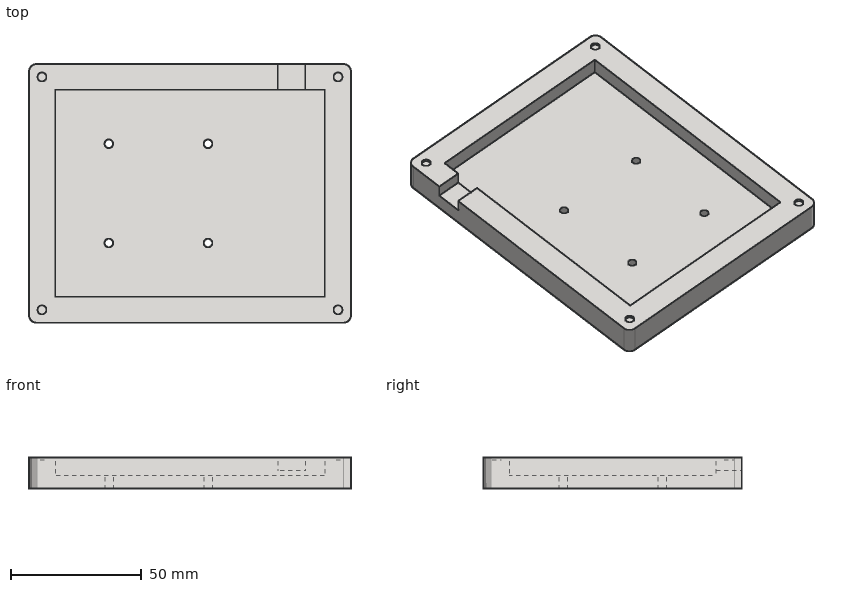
import cadquery as cq

length = 123.2
width = 99.0
height = 12.0
corner_radius = 3.0
wall = 10.0
floor_thickness = 5.0

rim_hole_diameter = 3.5
rim_hole_depth = 1.0

mount_hole_diameter = 3.2
mount_spacing = 38.0
mount_center_x = -12.1

notch_width = 10.5
notch_center_x = 38.8
notch_depth = 5.0


def make_tray():
    """Rounded block with a sharp-cornered rectangular pocket."""
    block = cq.Workplane("XY").box(length, width, height, centered=(True, True, False))
    block = block.edges("|Z").fillet(corner_radius)
    pocket = (
        cq.Workplane("XY")
        .workplane(offset=floor_thickness)
        .rect(length - 2 * wall, width - 2 * wall)
        .extrude(height - floor_thickness)
    )
    return block.cut(pocket)


def make_rim_holes():
    """Shallow blind holes going down from the rim."""
    return (
        cq.Workplane("XY")
        .workplane(offset=height - rim_hole_depth)
        .rect(length - wall, width - wall, forConstruction=True)
        .vertices()
        .circle(rim_hole_diameter / 2)
        .extrude(rim_hole_depth)
    )


def make_mount_holes():
    """Through holes in the floor."""
    return (
        cq.Workplane("XY")
        .center(mount_center_x, 0)
        .rect(mount_spacing, mount_spacing, forConstruction=True)
        .vertices()
        .circle(mount_hole_diameter / 2)
        .extrude(floor_thickness)
    )


def make_notch():
    """Block spanning the back wall, open at the top."""
    return (
        cq.Workplane("XY")
        .workplane(offset=height - notch_depth)
        .center(notch_center_x, (width - wall) / 2)
        .rect(notch_width, wall)
        .extrude(notch_depth)
    )


result = make_tray().cut(make_rim_holes()).cut(make_mount_holes()).cut(make_notch())